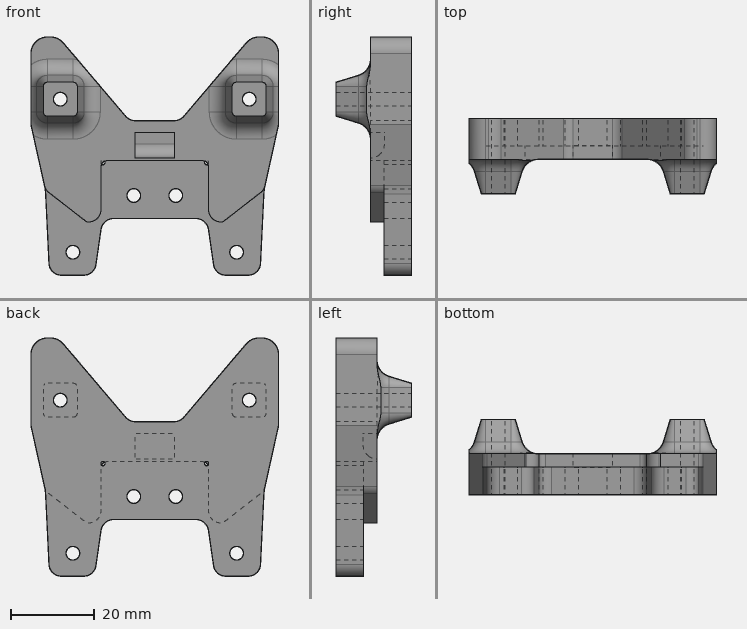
import cadquery as cq
import math

leg_thickness = 6.6
plate_thickness = 9.8
overall_depth = 18.0
boss_height = overall_depth - plate_thickness

height = 56.8
half_width = 29.52
horn_radius = 4.0
horn_inner_x = 23.0
valley_z = 36.86
valley_half_width = 6.04
valley_radius = 3.0
side_kink_z = 35.95

waist_x = 26.06
waist_z = 20.36
waist_radius = 12.0

foot_outer_x = 25.08
foot_inner_x = 14.35
foot_radius = 3.0
crotch_x = 12.4
crotch_z = 13.5

recess_half_width = 12.8
recess_top_z = 27.3
recess_corner_radius = 1.5
lobe_radius = 3.0
lobe_bottom_z = 12.7
lobe_slope = 0.775
lobe_outer_x = waist_x - (waist_z - lobe_bottom_z) / lobe_slope

boss_x = 22.5
boss_z = 41.95
boss_tip_size = 8.1
boss_tip_radius = 1.0
boss_taper = 17.1
boss_base_fillet = 4.0
boss_footing_size = 22.0
search_margin = 0.5

boss_hole_diameter = 3.2
centre_hole_diameter = 3.2
centre_hole_x = 5.0
centre_hole_z = 19.0
foot_hole_diameter = 3.2
foot_hole_x = 19.5
foot_hole_z = 5.5
relief_hole_diameter = 1.0

window_width = 9.44
window_bottom_z = 27.94
window_top_z = 34.0
window_depth = 3.34


def tangent_arc(before, corner, after, radius):
    """Start, middle and end points of the arc that rounds one corner."""
    to_before = (cq.Vector(*before) - cq.Vector(*corner)).normalized()
    to_after = (cq.Vector(*after) - cq.Vector(*corner)).normalized()
    half_angle = to_before.getAngle(to_after) / 2
    setback = radius / math.tan(half_angle)
    bisector = (to_before + to_after).normalized()
    apex_distance = radius / math.sin(half_angle) - radius
    vertex = cq.Vector(*corner)
    points = (vertex + to_before * setback, vertex + bisector * apex_distance, vertex + to_after * setback)
    return [(point.x, point.y) for point in points]


def rounded_prism(left_half, thickness):
    """Extrude a left-right symmetric outline from the back face towards -Y.

    left_half lists (x, z, corner radius), from the top centre down to the bottom centre.
    """
    right_half = [(-x, z, radius) for x, z, radius in reversed(left_half)]
    corners = left_half + right_half
    points = [(x, z) for x, z, radius in corners]
    outline = cq.Workplane("XZ").moveTo(0, left_half[0][1])
    for index, (x, z, radius) in enumerate(corners):
        if radius == 0:
            outline = outline.lineTo(x, z)
            continue
        following = points[(index + 1) % len(points)]
        start, middle, end = tangent_arc(points[index - 1], (x, z), following, radius)
        outline = outline.lineTo(*start).threePointArc(middle, end)
    return outline.close().extrude(thickness)


upper_outline = [
    (-valley_half_width, valley_z, valley_radius),
    (-horn_inner_x, height, horn_radius),
    (-half_width, height, horn_radius),
    (-half_width, side_kink_z, 0),
]

leg_outline = upper_outline + [
    (-waist_x, waist_z, waist_radius),
    (-foot_outer_x, 0, foot_radius),
    (-foot_inner_x, 0, foot_radius),
    (-crotch_x, crotch_z, foot_radius),
]

front_outline = upper_outline + [
    (-waist_x, waist_z, lobe_radius),
    (-lobe_outer_x, lobe_bottom_z, 0),
    (-recess_half_width, lobe_bottom_z, lobe_radius),
    (-recess_half_width, recess_top_z, recess_corner_radius),
]


def drill(body, x, z, diameter):
    """Cut a round hole along Y through everything, on both sides of the centre."""
    places = [(-x, z), (x, z)]
    return body.cut(cq.Workplane("XZ").pushPoints(places).circle(diameter / 2).extrude(overall_depth))


def boss(x):
    """Tapered square boss, flared into the block of plate it stands on."""
    footing = (
        cq.Workplane("XZ")
        .center(x, boss_z)
        .rect(boss_footing_size, boss_footing_size)
        .extrude(plate_thickness)
    )
    tip_outline = cq.Sketch().rect(boss_tip_size, boss_tip_size).vertices().fillet(boss_tip_radius)
    post = (
        cq.Workplane("ZX", origin=(x, -overall_depth, boss_z))
        .placeSketch(tip_outline)
        .extrude(boss_height, taper=-boss_taper)
    )
    reach = boss_footing_size / 2 - search_margin
    base_edges = cq.selectors.BoxSelector(
        (x - reach, -plate_thickness - search_margin, boss_z - reach),
        (x + reach, -plate_thickness + search_margin, boss_z + reach),
    )
    return footing.union(post).edges(base_edges).fillet(boss_base_fillet)


def window():
    """Pocket whose floor curves up from the front face into the back wall."""
    front_y = -plate_thickness
    back_y = front_y + window_depth
    bend_top_z = window_bottom_z + window_depth
    diagonal = window_depth * math.sqrt(0.5)
    return (
        cq.Workplane("YZ")
        .moveTo(front_y, window_bottom_z)
        .threePointArc((front_y + diagonal, bend_top_z - diagonal), (back_y, bend_top_z))
        .lineTo(back_y, window_top_z)
        .lineTo(front_y, window_top_z)
        .close()
        .extrude(window_width / 2, both=True)
    )


corner_inset = recess_corner_radius * (1 - math.sqrt(0.5))
leg_layer = drill(
    rounded_prism(leg_outline, leg_thickness),
    recess_half_width - corner_inset,
    recess_top_z - corner_inset,
    relief_hole_diameter,
)

front_layer = rounded_prism(front_outline, plate_thickness).cut(rounded_prism(leg_outline, leg_thickness))

bosses = boss(-boss_x).union(boss(boss_x)).intersect(rounded_prism(front_outline, overall_depth))

result = leg_layer.union(front_layer).union(bosses).cut(window())
result = drill(result, boss_x, boss_z, boss_hole_diameter)
result = drill(result, centre_hole_x, centre_hole_z, centre_hole_diameter)
result = drill(result, foot_hole_x, foot_hole_z, foot_hole_diameter)